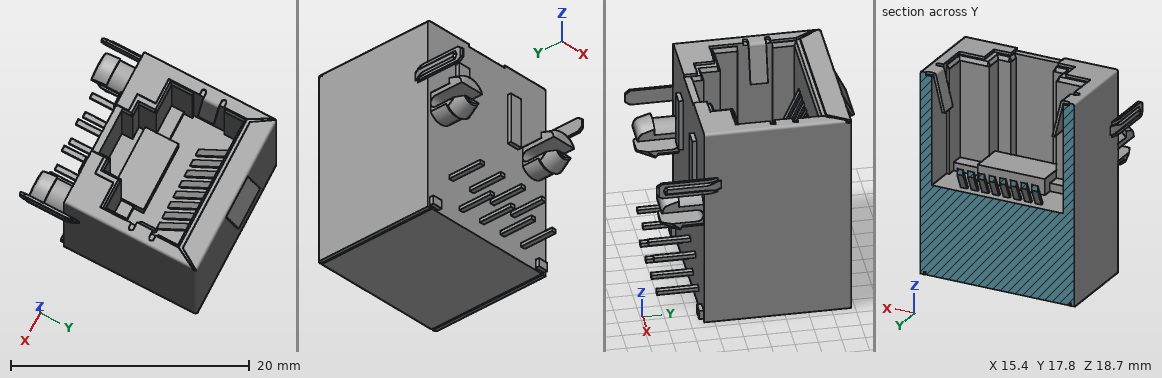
import cadquery as cq
import math

body_width = 14.6
body_depth = 12.58
body_height = 18.67
bend_radius = 0.25
sheet = 0.25
half_width = body_width / 2
skin_bottom = body_height - sheet

slot_half = 2.22
shield_main_half = 6.18
shield_mid_half = 3.83
shield_mid_bottom = 1.15
shield_main_bottom = 2.9
shield_top = 10.62
flange_corner_half = 6.07
mitre_gap_width = 0.3

lead_in = 0.19
lead_in_depth = 0.37
plastic_main_half = 6.12
plastic_mid_half = 3.36
plastic_slot_half = 2.2
plastic_mid_bottom = 1.45
plastic_main_bottom = 3.1
plastic_top = 10.29
slot_wall = 0.63

cavity_floor = 8.4
ledge_height = 0.75
ledge_top_y = 4.46
block_height = 1.5
block_bottom_y = 2.24
block_top_y = 5.4
recess_bottom_y = 5.26
recess_top_y = 8.25

contact_count = 8
contact_pitch = 1.0
contact_width = 0.58
contact_top_z = 15.12
contact_foot_y = 6.96

tongue_y = 6.96
tongue_width = 1.5
tongue_drop = 3.5
tongue_tip_x = 5.08
tongue_bend = 0.32
relief_width = 0.41
relief_end_x = 6.75

back_tab_width = 3.88
back_tab_root_z = 18.17
back_tab_tip_z = 15.75
back_tab_reach = 1.18

pad_height = 0.4
rib_width = 1.29
rib_x = 3.2
rib_bottom, rib_top = 11.02, 15.87
foot_width = 1.05
foot_x = 6.53
foot_bottom, foot_top = 0.22, 1.05
seam_x = 6.87
seam_width = 0.15

pin_count = 8
pin_pitch = 1.27
pin_width = 0.49
pin_thickness = 0.35
pin_length = 3.55
pin_row_z = (1.66, 4.18)

peg_x = 5.7
peg_z = 10.47
peg_half_width = 1.27
peg_slot_half = 0.56
peg_length = pin_length
upper_shank_radius = 1.65
upper_barb_radius = 2.05
upper_barb_start = 2.1
upper_nose_radius = 1.81
upper_nose_start = 3.05
upper_nose_mid = (1.66, -3.35)
upper_tip_radius = 1.18
lower_shank_radius = 1.51
lower_shank_end = 1.75
lower_barb_radius = 1.7
lower_barb_peak = 1.98
lower_cone_radius = 1.03
lower_cone_end = 3.5
lower_tip_radius = 0.85

ground_z = 13.6
ground_half_height = 0.7
ground_tip_half = 0.37
ground_root_y = 1.15
ground_shoulder_y = -3.64
ground_tip_y = -4.07
tip_bevel = 0.05
tip_bevel_length = 0.17
bead_height = 0.15
bead_half = 0.4
bead_crest_half = 0.2
bead_root_y = 1.45
bead_bend_y = 0.17
bead_end_y = -3.51
bend_bulge = 0.7


def box(x0, x1, y0, y1, z0, z1):
    return cq.Workplane("XY").box(x1 - x0, y1 - y0, z1 - z0, centered=False).translate((x0, y0, z0))


def with_mirror(shape):
    """Return the shape joined with its reflection across the X = 0 plane."""
    return shape.union(shape.mirror("YZ"))


def opening(main, mid, slot, slot_bottom, mid_bottom, main_bottom, top, z):
    """Stepped plug outline: wide main part, narrower middle and narrow latch slot."""
    right = [
        (slot, slot_bottom), (slot, mid_bottom), (mid, mid_bottom),
        (mid, main_bottom), (main, main_bottom), (main, top),
    ]
    left = [(-x, y) for x, y in reversed(right)]
    return cq.Workplane("XY").workplane(offset=z).polyline(right + left).close()


def make_shell():
    shell = box(-half_width, half_width, 0, body_depth, 0, body_height)
    shell = shell.edges("|Z and >Y").fillet(bend_radius)
    return shell.edges(">Z and (not <Y)").fillet(bend_radius)


def shield_cut():
    shield = opening(
        shield_main_half, shield_mid_half, slot_half, 0,
        shield_mid_bottom, shield_main_bottom, shield_top, skin_bottom,
    )
    return shield.extrude(sheet)


def cavity_cut():
    """Chamfered mouth and the straight cavity below it."""
    taper = math.degrees(math.atan(lead_in / lead_in_depth))
    mouth = opening(
        plastic_main_half, plastic_mid_half, plastic_slot_half, 0,
        plastic_mid_bottom, plastic_main_bottom, plastic_top, skin_bottom,
    ).extrude(-lead_in_depth, taper=taper)
    behind_slot_wall = box(-half_width, half_width, slot_wall, body_depth, 0, body_height)
    shaft = opening(
        plastic_main_half - lead_in, plastic_mid_half - lead_in, plastic_slot_half - lead_in, slot_wall,
        plastic_mid_bottom + lead_in, plastic_main_bottom + lead_in, plastic_top - lead_in, cavity_floor,
    ).extrude(skin_bottom - cavity_floor)
    recesses = box(
        -shield_main_half, shield_main_half, recess_bottom_y, recess_top_y, cavity_floor, skin_bottom
    )
    return mouth.intersect(behind_slot_wall).union(shaft).union(recesses)


def mitre_gap():
    """Gap between the folded top flanges at a back corner."""
    flange_corner = (flange_corner_half, shield_top)
    side_corner = (shield_main_half, plastic_top)
    return (
        cq.Workplane("XY").workplane(offset=skin_bottom)
        .polyline([
            flange_corner, (half_width, body_depth),
            (half_width, body_depth - mitre_gap_width), side_corner,
        ])
        .close().extrude(sheet)
    )


def tongue_reliefs():
    """Round-ended slots that free the spring tongue on one side."""
    radius = relief_width / 2
    offset = (tongue_width + relief_width) / 2
    start = shield_main_half - sheet
    length = relief_end_x - start
    return (
        cq.Workplane("XY").workplane(offset=skin_bottom)
        .pushPoints([(relief_end_x - radius, tongue_y + side * offset) for side in (-1, 1)])
        .circle(radius).extrude(sheet)
        .union(
            cq.Workplane("XY").workplane(offset=skin_bottom)
            .pushPoints([(start + (length - radius) / 2, tongue_y + side * offset) for side in (-1, 1)])
            .rect(length - radius, relief_width).extrude(sheet)
        )
    )


def bottom_seam():
    return box(seam_x - seam_width / 2, seam_x + seam_width / 2, 0, body_depth, 0, sheet)


def floor_steps():
    inner_half = plastic_main_half - lead_in
    channel_half = plastic_mid_half - lead_in
    ledge = box(
        -inner_half, inner_half, plastic_main_bottom + lead_in, ledge_top_y,
        cavity_floor, cavity_floor + ledge_height,
    )
    block = box(
        -channel_half, channel_half, block_bottom_y, block_top_y,
        cavity_floor, cavity_floor + block_height,
    )
    return ledge.union(block)


def contacts():
    """Row of wires sloping from the back wall down to the cavity floor."""
    wall_y = plastic_top - lead_in
    lean = math.atan2(wall_y - contact_foot_y, contact_top_z - cavity_floor)
    drop = sheet / math.sin(lean)
    wire = (
        cq.Workplane("YZ")
        .polyline([
            (contact_foot_y, cavity_floor), (wall_y, contact_top_z),
            (wall_y, contact_top_z - drop), (contact_foot_y + sheet / math.cos(lean), cavity_floor),
        ])
        .close().extrude(contact_width / 2, both=True)
    )
    row = cq.Workplane("XY")
    for i in range(contact_count):
        row = row.union(wire.translate(((i - (contact_count - 1) / 2) * contact_pitch, 0, 0)))
    return row


def spring_tongue():
    """Sheet strip folded from the top flange down into the cavity."""
    bend_x = shield_main_half - tongue_bend
    tip_z = body_height - tongue_drop
    return (
        cq.Workplane("XZ", origin=(0, tongue_y, 0))
        .moveTo(relief_end_x, body_height)
        .lineTo(shield_main_half, body_height)
        .tangentArcPoint((bend_x, body_height - tongue_bend), relative=False)
        .lineTo(tongue_tip_x, tip_z)
        .lineTo(tongue_tip_x + sheet, tip_z)
        .lineTo(bend_x + sheet, skin_bottom - tongue_bend / 2)
        .lineTo(shield_main_half, skin_bottom)
        .lineTo(relief_end_x, skin_bottom)
        .close().extrude(tongue_width / 2, both=True)
    )


def back_tab():
    tip_y = body_depth + back_tab_reach
    lean = math.atan2(back_tab_reach, back_tab_root_z - back_tab_tip_z)
    across = (-sheet * math.cos(lean), -sheet * math.sin(lean))
    return (
        cq.Workplane("YZ")
        .polyline([
            (body_depth, back_tab_root_z), (tip_y, back_tab_tip_z),
            (tip_y + across[0], back_tab_tip_z + across[1]),
            (body_depth + across[0], back_tab_root_z + across[1]),
        ])
        .close().extrude(back_tab_width / 2, both=True)
    )


def pads():
    """Stand-off rib and foot on one side of the mounting face."""
    rib = box(rib_x - rib_width / 2, rib_x + rib_width / 2, -pad_height, 0, rib_bottom, rib_top)
    foot = box(foot_x - foot_width / 2, foot_x + foot_width / 2, -pad_height, 0, foot_bottom, foot_top)
    return rib.union(foot)


def pins():
    """Two staggered rows of solder pins."""
    lower, upper = pin_row_z
    spots = []
    for i in range(pin_count):
        x = (i - (pin_count - 1) / 2) * pin_pitch
        spots.append((x, upper if i % 2 == 0 else lower))
    return cq.Workplane("XZ").pushPoints(spots).rect(pin_width, pin_thickness).extrude(pin_length)


def peg():
    """Split snap-in peg: rounded upper barb and conical lower barb on a common axis."""
    upper = (
        cq.Workplane("XY")
        .polyline([
            (0, 0), (upper_shank_radius, 0), (upper_shank_radius, -upper_barb_start),
            (upper_barb_radius, -upper_barb_start), (upper_nose_radius, -upper_nose_start),
        ])
        .threePointArc(upper_nose_mid, (upper_tip_radius, -peg_length))
        .lineTo(0, -peg_length).close()
        .revolve(180, (0, 0, 0), (0, 1, 0))
    )
    lower = (
        cq.Workplane("XY")
        .polyline([
            (0, 0), (lower_shank_radius, 0), (lower_shank_radius, -lower_shank_end),
            (lower_barb_radius, -lower_barb_peak), (lower_cone_radius, -lower_cone_end),
            (lower_tip_radius, -peg_length), (0, -peg_length),
        ])
        .close().revolve(180, (0, 0, 0), (0, 1, 0))
    )
    reach = 2 * peg_half_width
    above = box(-peg_half_width, peg_half_width, -peg_length, 0, 0, reach)
    below = above.mirror("XY")
    full_upper = upper.union(upper.mirror("XY"))
    full_lower = lower.union(lower.mirror("XY"))
    whole = full_upper.intersect(above).union(full_lower.intersect(below))
    slot = (
        cq.Workplane("YZ").moveTo(-peg_length, peg_slot_half)
        .lineTo(-peg_slot_half, peg_slot_half)
        .threePointArc((0, 0), (-peg_slot_half, -peg_slot_half))
        .lineTo(-peg_length, -peg_slot_half)
        .close().extrude(peg_half_width, both=True)
    )
    return whole.cut(slot).translate((peg_x, 0, peg_z))


def side_profile(root_y, bend_y, height):
    """Slab seen along Z: swings out of the shield on an arc, then runs straight to a bevelled tip."""
    outer_x = half_width + height
    mid_bend = (half_width + bend_bulge * height, (root_y + bend_y) / 2)
    return (
        cq.Workplane("XY").moveTo(half_width, root_y)
        .threePointArc(mid_bend, (outer_x, bend_y))
        .lineTo(outer_x, ground_tip_y + tip_bevel_length)
        .lineTo(outer_x - tip_bevel, ground_tip_y)
        .lineTo(half_width, ground_tip_y)
        .close().extrude(body_height)
    )


def ground_tab():
    """Side solder tab with a raised stiffening bead, both growing out of the shield."""
    plate = (
        cq.Workplane("YZ", origin=(half_width, 0, ground_z))
        .polyline([
            (bead_root_y, -ground_half_height), (ground_shoulder_y, -ground_half_height),
            (ground_tip_y, -ground_tip_half), (ground_tip_y, ground_tip_half),
            (ground_shoulder_y, ground_half_height), (bead_root_y, ground_half_height),
        ])
        .close().extrude(sheet)
        .intersect(side_profile(ground_root_y, bead_bend_y, sheet))
    )

    def bead_outline(x):
        return (
            cq.Workplane("YZ", origin=(x, 0, ground_z))
            .polyline([
                (2 * bead_root_y, -bead_half), (bead_end_y + bead_half / 2, -bead_half),
                (bead_end_y, 0),
                (bead_end_y + bead_half / 2, bead_half), (2 * bead_root_y, bead_half),
            ])
            .close()
        )

    slope = math.degrees(math.atan((bead_half - bead_crest_half) / bead_height))
    bead = (
        bead_outline(half_width).extrude(sheet)
        .union(bead_outline(half_width + sheet).extrude(bead_height, taper=slope))
        .intersect(side_profile(bead_root_y, bead_bend_y, sheet + bead_height))
    )
    return plate.union(bead)


cuts = shield_cut().union(cavity_cut())
result = make_shell().cut(cuts)
for side_cut in (mitre_gap(), tongue_reliefs(), bottom_seam()):
    result = result.cut(with_mirror(side_cut))

for feature in (floor_steps(), contacts(), back_tab(), pins()):
    result = result.union(feature)
for side_feature in (spring_tongue(), pads(), peg(), ground_tab()):
    result = result.union(with_mirror(side_feature))